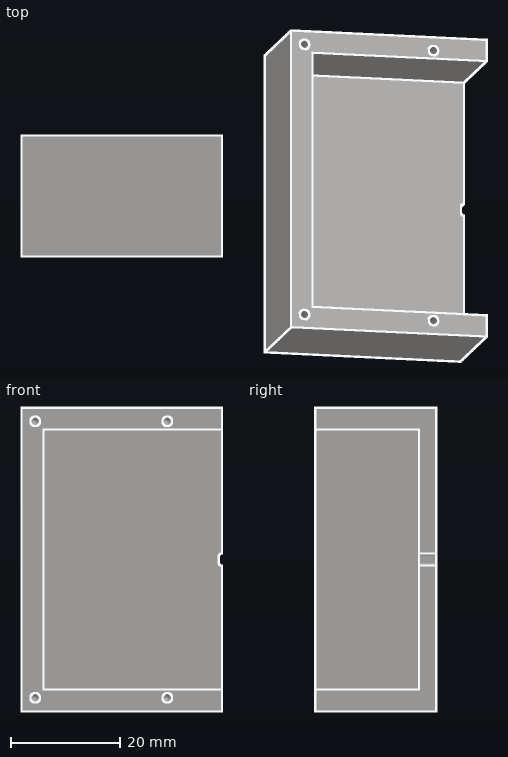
import cadquery as cq
import math

width = 36.8
depth = 22.25
height = 55.7

side_wall = 4.0
back_wall = 3.2

hole_diameter = 1.8
hole_depth = 8.0
drill_point_angle = 118.0
hole_inset = 2.5
hole_spacing = 24.25

notch_height = 2.25
notch_depth = 0.55
notch_corner_radius = 0.5

front_y = -depth / 2
left_x = -width / 2
right_x = width / 2


def tray():
    cavity_width = width - side_wall
    cavity_depth = depth - back_wall
    cavity_height = height - 2 * side_wall
    cavity = (
        cq.Workplane("XY")
        .box(cavity_width, cavity_depth, cavity_height)
        .translate((side_wall / 2, -back_wall / 2, 0))
    )
    return cq.Workplane("XY").box(width, depth, height).cut(cavity)


def drilled_hole(x, z):
    """Round hole running in +Y from the front rim, ending in a cone."""
    radius = hole_diameter / 2
    tip_depth = hole_depth + radius / math.tan(math.radians(drill_point_angle / 2))
    half_profile = [(0, 0), (radius, 0), (radius, hole_depth), (0, tip_depth)]
    return (
        cq.Workplane("XY")
        .polyline(half_profile)
        .close()
        .revolve(360, (0, 0, 0), (0, 1, 0))
        .translate((x, front_y, z))
    )


def edge_notch():
    """Notch through the back wall, with its two inner corners rounded."""
    reach = 2 * notch_depth
    return (
        cq.Workplane("XZ", origin=(right_x, depth / 2, 0))
        .rect(reach, notch_height)
        .extrude(back_wall)
        .edges("|Y and <X")
        .fillet(notch_corner_radius)
    )


first_hole_x = left_x + hole_inset
hole_z = height / 2 - hole_inset

result = tray().cut(edge_notch())
for hole_x in (first_hole_x, first_hole_x + hole_spacing):
    for z in (-hole_z, hole_z):
        result = result.cut(drilled_hole(hole_x, z))